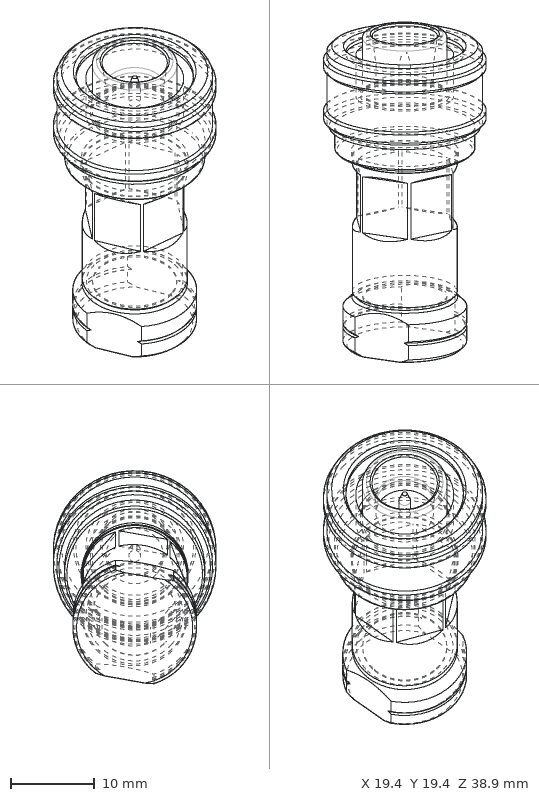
import cadquery as cq
import math

NUT_TOP = 5.95
BODY_BOTTOM = 6.15
FLATS_BOTTOM = 15.2
FLATS_TOP = 22.2
BODY_TOP = 23.5
COLLAR_BOTTOM = 24.35
SLEEVE_BOTTOM = 27.35
SLEEVE_TOP = 37.4
PLUG_TOP = 38.9

NUT_RADIUS = 7.4
NUT_FLAT_OFFSET = 6.5
NUT_TOP_CHAMFER = 1.1
NUT_BOTTOM_CHAMFER = 0.45
NUT_GROOVE_LEVEL = 2.5
NUT_GROOVE_DEPTH = 0.25
NECK_RADIUS = 5.0

BODY_RADIUS = 6.25
BODY_CHAMFER = 0.5
BODY_FLAT_OFFSET = 5.52
BODY_FLAT_COUNT = 6
FLAT_RAMP_ANGLE = 30.0
CUTTER_MARGIN = 0.4
SHOULDER_RADIUS = 6.38

COLLAR_RADIUS = 8.35
COLLAR_CHAMFER = 0.27

SLEEVE_RADIUS = 9.3
SLEEVE_TOP_CHAMFER = 0.6
RING_DIAMETER = 19.4
RING_RADIUS = RING_DIAMETER / 2
RING_CHAMFER = 0.37
UPPER_RING_BOTTOM = 34.4
UPPER_RING_TOP = 36.0
LOWER_RING_BOTTOM = 27.95
LOWER_RING_TOP = 29.6
RING_TOP_RISE = 0.25
SLEEVE_FOOT_RADIUS = 9.02

MOUTH_RADIUS = 7.3
MOUTH_CHAMFER_HEIGHT = 0.62
LEDGE_RADIUS = 7.0
LEDGE_LEVEL = 36.35
CHANNEL_RADIUS = 5.85
CHANNEL_BOTTOM = 31.12

PLUG_RADIUS = 5.05
PLUG_EDGE_RADIUS = 0.5
PLUG_FOOT_RADIUS = 5.3
PLUG_FOOT_HEIGHT = 0.4
SOCKET_RADIUS = 3.9
SOCKET_MOUTH_CHAMFER = 0.25
SOCKET_TAPER_RADIUS = 3.45
SOCKET_TAPER_BOTTOM = 35.35
SOCKET_INNER_RADIUS = 3.42
SOCKET_BORE_TOP = 34.62
SOCKET_FLOOR = 32.68

PIN_RADIUS = 0.7
PIN_TIP_RADIUS = 0.29
PIN_TOP = 36.53
PIN_TIP_HEIGHT = 1.35


def turned(profile):
    """Revolve a closed (radius, level) outline around Z."""
    return profile.close().revolve(360, (0, 0, 0), (0, 1, 0))


def start(radius, level):
    return cq.Workplane("XZ").moveTo(radius, level)


def make_nut():
    groove = NUT_GROOVE_DEPTH
    nut = turned(
        start(0, 0)
        .lineTo(NUT_RADIUS - NUT_BOTTOM_CHAMFER, 0)
        .lineTo(NUT_RADIUS, NUT_BOTTOM_CHAMFER)
        .lineTo(NUT_RADIUS, NUT_GROOVE_LEVEL - groove)
        .lineTo(NUT_RADIUS - groove, NUT_GROOVE_LEVEL)
        .lineTo(NUT_RADIUS, NUT_GROOVE_LEVEL + groove)
        .lineTo(NUT_RADIUS, NUT_TOP - NUT_TOP_CHAMFER)
        .lineTo(NUT_RADIUS - NUT_TOP_CHAMFER, NUT_TOP)
        .lineTo(0, NUT_TOP)
    )
    between_flats = cq.Workplane("XY").box(
        2 * NUT_RADIUS, 2 * NUT_FLAT_OFFSET, NUT_TOP, centered=(True, True, False)
    )
    return nut.intersect(between_flats)


def make_body():
    body = turned(
        start(0, BODY_BOTTOM)
        .lineTo(BODY_RADIUS - BODY_CHAMFER, BODY_BOTTOM)
        .lineTo(BODY_RADIUS, BODY_BOTTOM + BODY_CHAMFER)
        .lineTo(BODY_RADIUS, BODY_TOP)
        .lineTo(0, BODY_TOP)
    )
    reach = BODY_RADIUS + CUTTER_MARGIN
    ramp_rise = (reach - BODY_FLAT_OFFSET) * math.tan(math.radians(FLAT_RAMP_ANGLE))
    flat_cutter = (
        cq.Workplane("YZ")
        .moveTo(-BODY_FLAT_OFFSET, FLATS_BOTTOM)
        .lineTo(-BODY_FLAT_OFFSET, FLATS_TOP)
        .lineTo(-reach, FLATS_TOP + ramp_rise)
        .lineTo(-reach, FLATS_BOTTOM - ramp_rise)
        .close()
        .extrude(BODY_RADIUS, both=True)
    )
    for index in range(BODY_FLAT_COUNT):
        angle = index * 360 / BODY_FLAT_COUNT
        body = body.cut(flat_cutter.rotate((0, 0, 0), (0, 0, 1), angle))
    return body


def make_neck():
    return cq.Workplane("XY").circle(NECK_RADIUS).extrude(BODY_BOTTOM)


def make_collar():
    return turned(
        start(0, BODY_TOP)
        .lineTo(SHOULDER_RADIUS, BODY_TOP)
        .lineTo(SHOULDER_RADIUS, COLLAR_BOTTOM)
        .lineTo(COLLAR_RADIUS - COLLAR_CHAMFER, COLLAR_BOTTOM)
        .lineTo(COLLAR_RADIUS, COLLAR_BOTTOM + COLLAR_CHAMFER)
        .lineTo(COLLAR_RADIUS, SLEEVE_BOTTOM)
        .lineTo(0, SLEEVE_BOTTOM)
    )


def make_sleeve():
    return turned(
        start(0, SLEEVE_BOTTOM)
        .lineTo(SLEEVE_FOOT_RADIUS, SLEEVE_BOTTOM)
        .lineTo(SLEEVE_RADIUS, LOWER_RING_BOTTOM)
        .lineTo(RING_RADIUS, LOWER_RING_BOTTOM + RING_CHAMFER)
        .lineTo(RING_RADIUS, LOWER_RING_TOP - RING_TOP_RISE)
        .lineTo(SLEEVE_RADIUS, LOWER_RING_TOP)
        .lineTo(SLEEVE_RADIUS, UPPER_RING_BOTTOM)
        .lineTo(RING_RADIUS, UPPER_RING_BOTTOM + RING_CHAMFER)
        .lineTo(RING_RADIUS, UPPER_RING_TOP - RING_TOP_RISE)
        .lineTo(SLEEVE_RADIUS, UPPER_RING_TOP)
        .lineTo(SLEEVE_RADIUS, SLEEVE_TOP - SLEEVE_TOP_CHAMFER)
        .lineTo(SLEEVE_RADIUS - SLEEVE_TOP_CHAMFER, SLEEVE_TOP)
        .lineTo(MOUTH_RADIUS, SLEEVE_TOP)
        .lineTo(LEDGE_RADIUS, SLEEVE_TOP - MOUTH_CHAMFER_HEIGHT)
        .lineTo(LEDGE_RADIUS, LEDGE_LEVEL)
        .lineTo(CHANNEL_RADIUS, LEDGE_LEVEL)
        .lineTo(CHANNEL_RADIUS, CHANNEL_BOTTOM)
        .lineTo(0, CHANNEL_BOTTOM)
    )


def make_plug():
    foot_top = CHANNEL_BOTTOM + PLUG_FOOT_HEIGHT
    edge_shift = PLUG_EDGE_RADIUS * (1 - math.sqrt(0.5))
    return turned(
        start(0, CHANNEL_BOTTOM)
        .lineTo(PLUG_FOOT_RADIUS, CHANNEL_BOTTOM)
        .lineTo(PLUG_FOOT_RADIUS, foot_top)
        .lineTo(PLUG_RADIUS, foot_top)
        .lineTo(PLUG_RADIUS, PLUG_TOP - PLUG_EDGE_RADIUS)
        .threePointArc(
            (PLUG_RADIUS - edge_shift, PLUG_TOP - edge_shift),
            (PLUG_RADIUS - PLUG_EDGE_RADIUS, PLUG_TOP),
        )
        .lineTo(SOCKET_RADIUS + SOCKET_MOUTH_CHAMFER, PLUG_TOP)
        .lineTo(SOCKET_RADIUS, PLUG_TOP - SOCKET_MOUTH_CHAMFER)
        .lineTo(SOCKET_TAPER_RADIUS, SOCKET_TAPER_BOTTOM)
        .tangentArcPoint((SOCKET_INNER_RADIUS, SOCKET_BORE_TOP), relative=False)
        .lineTo(SOCKET_INNER_RADIUS, SOCKET_FLOOR)
        .lineTo(PIN_RADIUS, SOCKET_FLOOR)
        .lineTo(PIN_RADIUS, PIN_TOP - PIN_TIP_HEIGHT)
        .lineTo(PIN_TIP_RADIUS, PIN_TOP)
        .lineTo(0, PIN_TOP)
    )


result = make_neck()
for section in (make_nut(), make_body(), make_collar(), make_sleeve(), make_plug()):
    result = result.union(section)